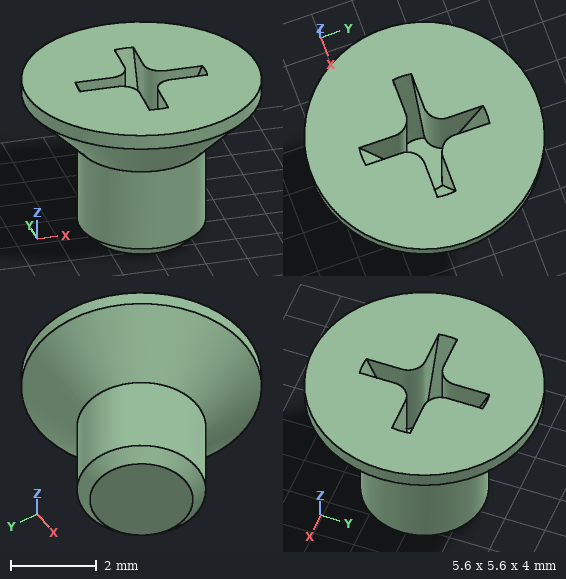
import cadquery as cq

head_diameter = 5.6
shank_diameter = 3.0
total_height = 4.0
rim_height = 0.36
tip_chamfer = 0.3

recess_diameter = 3.095
floor_diameter = 1.31
recess_depth = 2.1
arm_width = 0.455
inner_corner_radius = 0.425

head_radius = head_diameter / 2
shank_radius = shank_diameter / 2
rim_bottom = total_height - rim_height
head_bottom = rim_bottom - (head_radius - shank_radius)


def screw_body():
    """Countersunk head and chamfered shank, revolved about Z with the tip at Z = 0."""
    return (
        cq.Workplane("XZ")
        .moveTo(0, 0)
        .lineTo(shank_radius - tip_chamfer, 0)
        .lineTo(shank_radius, tip_chamfer)
        .lineTo(shank_radius, head_bottom)
        .lineTo(head_radius, rim_bottom)
        .lineTo(head_radius, total_height)
        .lineTo(0, total_height)
        .close()
        .revolve(360, (0, 0), (0, 1))
    )


def cross_recess():
    """Upright cross with rounded inner corners, its arm ends sloping inward to a flat floor."""
    corner_selector = cq.selectors.BoxSelector(
        (-arm_width, -arm_width, -recess_depth),
        (arm_width, arm_width, recess_depth),
    )
    arm = cq.Workplane("XY").box(recess_diameter, arm_width, recess_depth)
    cross = (
        arm.union(arm.rotate((0, 0, 0), (0, 0, 1), 90))
        .edges("|Z")
        .edges(corner_selector)
        .fillet(inner_corner_radius)
        .translate((0, 0, total_height - recess_depth / 2))
    )
    taper = (
        cq.Workplane("XY", origin=(0, 0, total_height - recess_depth))
        .circle(floor_diameter / 2)
        .workplane(offset=recess_depth)
        .circle(recess_diameter / 2)
        .loft(ruled=True)
    )
    return cross.intersect(taper)


result = screw_body().cut(cross_recess())